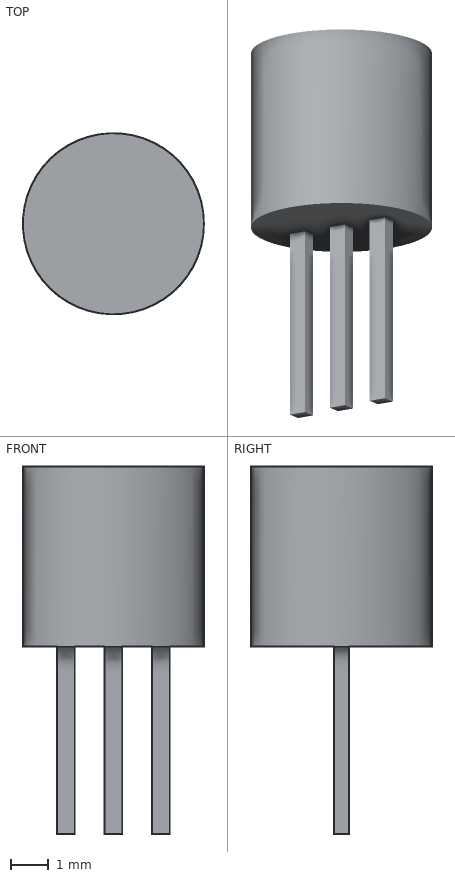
import cadquery as cq

total_height = 9.8
body_diameter = 4.83
body_height = 4.8

lead_count = 3
lead_pitch = 1.26
lead_width = 0.48
lead_thickness = 0.4
lead_length = total_height - body_height


def make_body():
    """Solid cylindrical body with its underside at Z = 0."""
    return cq.Workplane("XY").circle(body_diameter / 2).extrude(body_height)


def make_leads():
    """Rectangular leads hanging from the underside of the body."""
    return (
        cq.Workplane("XY")
        .rarray(lead_pitch, 0.1, lead_count, 1)
        .rect(lead_width, lead_thickness)
        .extrude(-lead_length)
    )


result = make_body().union(make_leads())